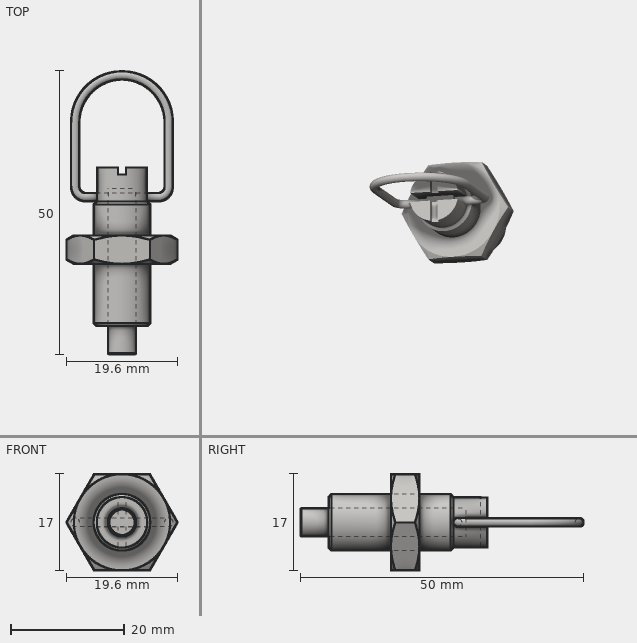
import cadquery as cq
import math


sleeve_diameter = 10.0
thread_depth = 0.54
neck_diameter = sleeve_diameter - 2 * thread_depth
neck_start = 22.0
sleeve_end = 28.0
ring_slot_width = 1.6
driver_slot_width = 1.4
driver_slot_depth = 1.2

wire_diameter = 1.5
ring_width = 18.0
ring_end = 45.0
ring_corner_radius = 1.25 * wire_diameter
ring_axis_half_width = (ring_width - wire_diameter) / 2
ring_bar_y = neck_start + wire_diameter / 2
ring_arc_center_y = ring_end - ring_width / 2

pin_diameter = 5.0
pin_projection = 5.0
pin_tip_chamfer = 0.25
pin_end = ring_bar_y + wire_diameter

nut_across_flats = 17.0
nut_across_corners = nut_across_flats / math.cos(math.radians(30))
nut_start = 11.0
nut_thickness = 5.0
nut_chamfer_angle = 30.0


def cylinder_along_y(diameter, start, end):
    """Solid cylinder on the Y axis between two Y positions."""
    plane = cq.Plane(origin=(0, start, 0), xDir=(1, 0, 0), normal=(0, 1, 0))
    return cq.Workplane(plane).circle(diameter / 2).extrude(end - start)


def make_sleeve():
    """Sleeve with a slotted neck, bored from the front for the pin."""
    radius = sleeve_diameter / 2
    neck_radius = neck_diameter / 2
    sleeve = (
        cq.Workplane("XY")
        .moveTo(0, 0)
        .lineTo(radius - thread_depth, 0)
        .lineTo(radius, thread_depth)
        .lineTo(radius, neck_start - thread_depth)
        .lineTo(neck_radius, neck_start)
        .lineTo(neck_radius, sleeve_end)
        .lineTo(0, sleeve_end)
        .close()
        .revolve(360, (0, 0, 0), (0, 1, 0))
    )
    pin_bore = cylinder_along_y(pin_diameter, 0, pin_end)

    floor_center_y = neck_start + ring_slot_width / 2
    ring_slot_floor = (
        cq.Workplane("YZ")
        .center(floor_center_y, 0)
        .circle(ring_slot_width / 2)
        .extrude(sleeve_diameter / 2, both=True)
    )
    ring_slot = cq.Workplane("XY").box(
        sleeve_diameter, sleeve_end - floor_center_y, ring_slot_width, centered=(True, False, True)
    ).translate((0, floor_center_y, 0))

    driver_slot = cq.Workplane("XY").box(
        driver_slot_width, driver_slot_depth, sleeve_diameter, centered=(True, False, True)
    ).translate((0, sleeve_end - driver_slot_depth, 0))

    return sleeve.cut(pin_bore).cut(ring_slot_floor).cut(ring_slot).cut(driver_slot)


def make_pin():
    """Locking pin with a cross hole at its inner end for the ring wire."""
    pin = cylinder_along_y(pin_diameter, -pin_projection, pin_end)
    pin = pin.faces("<Y").chamfer(pin_tip_chamfer)
    wire_hole = (
        cq.Workplane("YZ")
        .center(ring_bar_y, 0)
        .circle(wire_diameter / 2)
        .extrude(pin_diameter / 2, both=True)
    )
    return pin.cut(wire_hole)


def make_pull_ring():
    """Closed wire loop: cross bar, two corner bends, two legs and a half-round end."""
    half_width = ring_axis_half_width
    corner = ring_corner_radius
    path = (
        cq.Workplane("XY")
        .moveTo(0, ring_bar_y)
        .lineTo(half_width - corner, ring_bar_y)
        .tangentArcPoint((half_width, ring_bar_y + corner), relative=False)
        .lineTo(half_width, ring_arc_center_y)
        .threePointArc((0, ring_arc_center_y + half_width), (-half_width, ring_arc_center_y))
        .lineTo(-half_width, ring_bar_y + corner)
        .tangentArcPoint((corner - half_width, ring_bar_y), relative=False)
        .close()
    )
    return cq.Workplane("YZ").center(ring_bar_y, 0).circle(wire_diameter / 2).sweep(path)


def make_nut():
    """Hexagon nut with corners along X, coned on both faces down to the width across flats."""
    plane = cq.Plane(origin=(0, nut_start, 0), xDir=(1, 0, 0), normal=(0, 1, 0))
    hexagon = cq.Workplane(plane).polygon(6, nut_across_corners).extrude(nut_thickness)

    flat_radius = nut_across_flats / 2
    corner_radius = nut_across_corners / 2
    cone_depth = (corner_radius - flat_radius) * math.tan(math.radians(nut_chamfer_angle))
    nut_end = nut_start + nut_thickness
    coned_blank = (
        cq.Workplane("XY")
        .moveTo(0, nut_start)
        .lineTo(flat_radius, nut_start)
        .lineTo(corner_radius, nut_start + cone_depth)
        .lineTo(corner_radius, nut_end - cone_depth)
        .lineTo(flat_radius, nut_end)
        .lineTo(0, nut_end)
        .close()
        .revolve(360, (0, 0, 0), (0, 1, 0))
    )
    bore = cylinder_along_y(sleeve_diameter, nut_start, nut_end)
    return hexagon.intersect(coned_blank).cut(bore)


sleeve = make_sleeve()
pin = make_pin()
pull_ring = make_pull_ring()
nut = make_nut()

bodies = [sleeve, pin, pull_ring, nut]
result = cq.Compound.makeCompound([body.solids().val() for body in bodies])